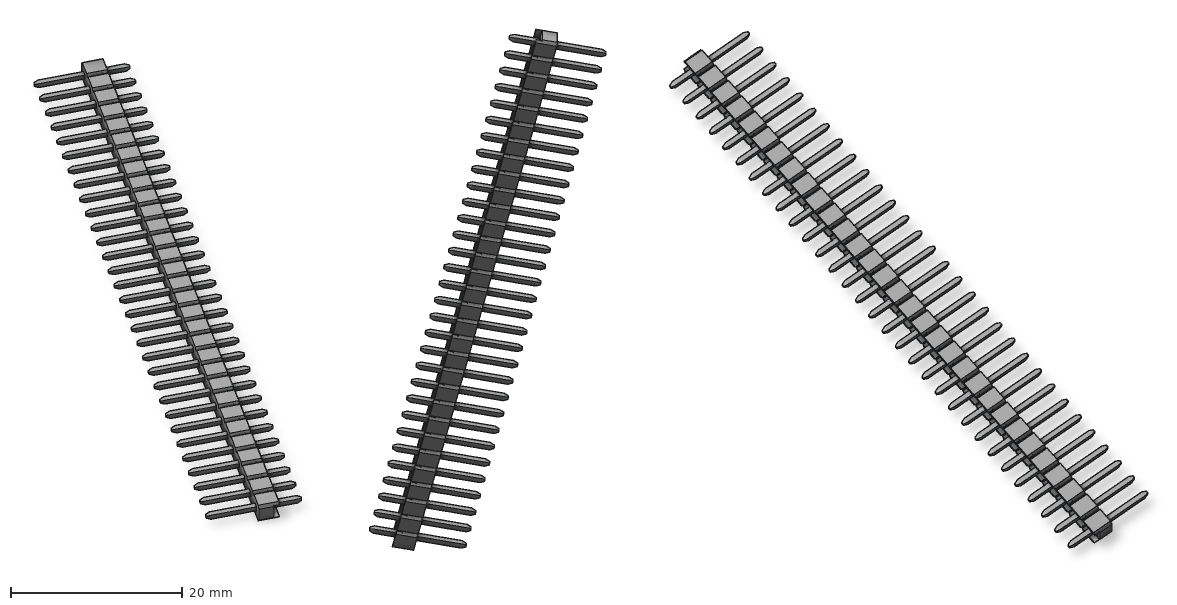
import cadquery as cq

pin_count = 31
strip_length = 78.75
pitch = strip_length / pin_count

housing_depth = 2.5
housing_height = 2.5
bevel_width = 0.3
bevel_height = 0.4
channel_depth = 0.7
channel_height = 1.9

pin_length = 11.6
pin_front_length = 6.1
pin_width = 0.645
tip_length = 0.535
tip_width = 0.3
pin_shift = -0.1

pin_front = -pin_length / 2
pin_back = pin_length / 2
housing_front = pin_front + pin_front_length
housing_back = housing_front + housing_depth
channel_floor = housing_back - channel_depth


def box_along_y(width, height, y_start, y_end):
    """Box centred on the Y axis, between two Y positions."""
    return (
        cq.Workplane("XY")
        .box(width, y_end - y_start, height, centered=(True, False, True))
        .translate((0, y_start, 0))
    )


def make_cell():
    """Bevelled block that holds one pin."""
    half_width = pitch / 2
    half_height = housing_height / 2
    top_half_width = half_width - bevel_width
    end_half_height = half_height - bevel_height
    outline = [
        (-half_width, -end_half_height),
        (-top_half_width, -half_height),
        (top_half_width, -half_height),
        (half_width, -end_half_height),
        (half_width, end_half_height),
        (top_half_width, half_height),
        (-top_half_width, half_height),
        (-half_width, end_half_height),
    ]
    return (
        cq.Workplane("XZ", origin=(0, housing_back, 0))
        .polyline(outline)
        .close()
        .extrude(housing_depth)
    )


def make_tip(y_base, direction):
    """Tapered pin end that narrows along +Y (direction 1) or -Y (direction -1)."""
    base_plane = cq.Plane(origin=(0, y_base, 0), xDir=(1, 0, 0), normal=(0, direction, 0))
    return (
        cq.Workplane(base_plane)
        .rect(pin_width, pin_width)
        .workplane(offset=tip_length)
        .rect(tip_width, tip_width)
        .loft(ruled=True)
    )


def make_pin():
    """Square pin with both ends tapered."""
    shank_front = pin_front + tip_length
    shank_back = pin_back - tip_length
    shank = box_along_y(pin_width, pin_width, shank_front, shank_back)
    return shank.union(make_tip(shank_front, -1)).union(make_tip(shank_back, 1))


def repeat_along_strip(shape):
    """Fuse one copy of the shape per pin position."""
    positions = [((i - (pin_count - 1) / 2) * pitch, 0) for i in range(pin_count)]
    return (
        cq.Workplane("XY")
        .pushPoints(positions)
        .eachpoint(lambda place: shape.val().moved(place), combine="a")
    )


channel = box_along_y(strip_length, channel_height, channel_floor, housing_back)
housing = repeat_along_strip(make_cell()).cut(channel)
pins = repeat_along_strip(make_pin()).translate((pin_shift, 0, 0))
result = housing.union(pins)